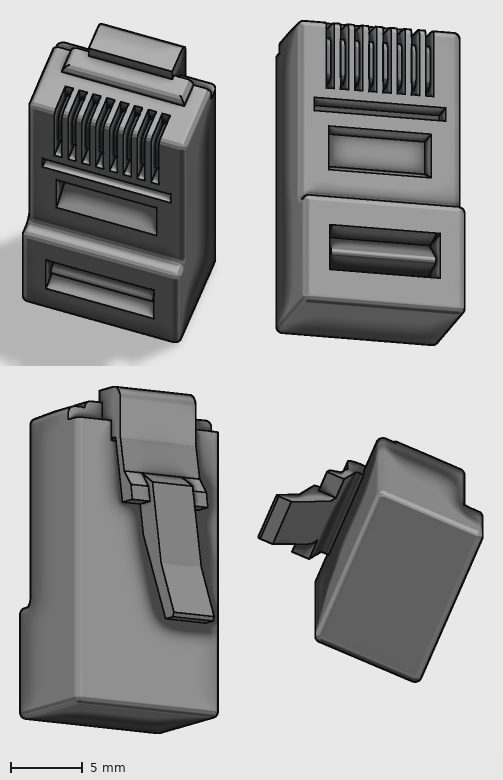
import cadquery as cq


OVERCUT = 1.0

BODY_WIDTH = 11.68
BODY_DEPTH = 8.01
BODY_HEIGHT = 21.14
STEP_DEPTH = 1.38
STEP_HEIGHT = 7.86
EDGE_RADIUS = 0.48
SLOPE_START_Y = 4.57
SLOPE_DROP = 0.14

NOTCH_Y = 6.78
NOTCH_Z = 20.16

PAD_WIDTH = 9.04
PAD_FRONT_Y = 4.82
PAD_TOP_Z = 21.62
PAD_RADIUS = 0.52
PAD_SINK = 0.5

LATCH_WIDTH = 6.16
LEVER_WIDTH = 3.28
LATCH_TOP_Z = 22.51
LATCH_LIP_Y = 6.41
LATCH_BACK_Y = 9.21
LATCH_TOP_RADIUS = 1.0
RELIEF_Z = 18.75
RELIEF_RISE = 0.19
ROOT_INNER_Y = 8.59
SHOULDER = (9.71, 16.33)
HOOK_NOSE = (10.6, 15.25)
HOOK_TIP = (10.79, 14.16)
LEVER_NOSE = (11.11, 15.48)
LEVER_OUTER_BEND = (12.26, 9.6)
LEVER_INNER_BEND = (9.92, 11.89)
LEVER_TIP = (13.97, 5.83)
LEVER_END_Z = 5.54
LEVER_END_OUTER_Y = 13.82
LEVER_END_INNER_Y = 12.86

BAR_WINDOW_WIDTH = 9.46
BAR_WINDOW_BOTTOM = 14.38
BAR_WINDOW_TOP = 15.35
WINDOW_DEPTH = 1.8
CLAMP_WINDOW_WIDTH = 7.37
CLAMP_WINDOW_BOTTOM = 10.15
CLAMP_WINDOW_TOP = 13.34
CLAMP_FLOOR_RISE = 0.83

RELIEF_WINDOW_WIDTH = 7.95
RELIEF_WINDOW_BOTTOM = 2.41
RELIEF_WINDOW_TOP = 5.68
RELIEF_WINDOW_DEPTH = 2.6
RELIEF_FLOOR_RISE = 0.46
WEDGE_WIDTH = 7.52
WEDGE_APEX = (0.03, 3.73)
WEDGE_HEEL = (2.4, 3.27)
WEDGE_SLOPE_END = (1.96, 5.28)
WEDGE_ROOT = (2.11, 5.43)
CEILING_SLOPE_END_Y = 1.95
WEDGE_NOSE_RADIUS = 0.27

CONTACT_COUNT = 8
CONTACT_PITCH = 1.02
SLOT_WIDTH = 0.57
SLOT_BOTTOM_Z = 16.11
SLOT_FLOOR_Y = 3.75
CONTACT_THICKNESS = 0.34
CONTACT_FRONT_Y = 1.9
CONTACT_BACK_Y = 5.0
CONTACT_CREST_BOTTOM = 16.83
CONTACT_CREST_TOP = 20.1
CONTACT_CREST_RADIUS = 0.65
CONTACT_BASE_BOTTOM = 16.59
CONTACT_BASE_TOP = 20.29

contact_xs = [(i - (CONTACT_COUNT - 1) / 2) * CONTACT_PITCH for i in range(CONTACT_COUNT)]


def profile_plane(half_width):
    """Sketch plane with local x along Y and local y along Z, at X = -half_width."""
    return cq.Workplane("YZ", origin=(-half_width, 0, 0))


def prism(points, width):
    """Extrude a closed Y-Z outline to the given width, centred on X = 0."""
    return profile_plane(width / 2).polyline(points).close().extrude(width)


def block(width, y_range, z_range, x_centre=0):
    """Rectangular block centred on x_centre."""
    (y0, y1), (z0, z1) = y_range, z_range
    return cq.Workplane("XY").box(width, y1 - y0, z1 - z0).translate(
        (x_centre, (y0 + y1) / 2, (z0 + z1) / 2)
    )


def make_body():
    outline = [
        (0, 0),
        (BODY_DEPTH, 0),
        (BODY_DEPTH, BODY_HEIGHT),
        (SLOPE_START_Y, BODY_HEIGHT),
        (STEP_DEPTH, BODY_HEIGHT - SLOPE_DROP),
        (STEP_DEPTH, STEP_HEIGHT),
        (0, STEP_HEIGHT),
    ]
    body = prism(outline, BODY_WIDTH)
    slope_crease = cq.selectors.NearestToPointSelector((0, SLOPE_START_Y, BODY_HEIGHT))
    body = body.edges(cq.selectors.InverseSelector(slope_crease)).fillet(EDGE_RADIUS)
    notch = block(
        BODY_WIDTH + 2 * OVERCUT,
        (NOTCH_Y, BODY_DEPTH + OVERCUT),
        (NOTCH_Z, BODY_HEIGHT + OVERCUT),
    )
    return body.cut(notch)


def make_pad():
    pad = block(PAD_WIDTH, (PAD_FRONT_Y, NOTCH_Y), (BODY_HEIGHT - PAD_SINK, PAD_TOP_Z))
    return pad.faces(">Z").edges("<Y or <X or >X").fillet(PAD_RADIUS)


def inner_edge_y(z):
    """Y of the latch's straight inner face at height z."""
    bend_y, bend_z = LEVER_INNER_BEND
    return bend_y + (z - bend_z) * (ROOT_INNER_Y - bend_y) / (RELIEF_Z - bend_z)


def make_latch():
    relief_crown = ((BODY_DEPTH + ROOT_INNER_Y) / 2, RELIEF_Z + RELIEF_RISE)
    root_and_hooks = (
        profile_plane(LATCH_WIDTH / 2)
        .moveTo(LATCH_LIP_Y, LATCH_TOP_Z)
        .lineTo(LATCH_LIP_Y, PAD_TOP_Z)
        .lineTo(NOTCH_Y, PAD_TOP_Z)
        .lineTo(NOTCH_Y, NOTCH_Z)
        .lineTo(BODY_DEPTH, NOTCH_Z)
        .lineTo(BODY_DEPTH, RELIEF_Z)
        .threePointArc(relief_crown, (ROOT_INNER_Y, RELIEF_Z))
        .lineTo(inner_edge_y(HOOK_TIP[1]), HOOK_TIP[1])
        .lineTo(*HOOK_TIP)
        .lineTo(*HOOK_NOSE)
        .lineTo(*SHOULDER)
        .lineTo(LATCH_BACK_Y, RELIEF_Z)
        .lineTo(LATCH_BACK_Y, LATCH_TOP_Z - LATCH_TOP_RADIUS)
        .radiusArc((LATCH_BACK_Y - LATCH_TOP_RADIUS, LATCH_TOP_Z), -LATCH_TOP_RADIUS)
        .close()
        .extrude(LATCH_WIDTH)
    )
    lever_outline = [
        SHOULDER,
        LEVER_NOSE,
        LEVER_OUTER_BEND,
        LEVER_TIP,
        (LEVER_END_OUTER_Y, LEVER_END_Z),
        (LEVER_END_INNER_Y, LEVER_END_Z),
        LEVER_INNER_BEND,
        (inner_edge_y(SHOULDER[1]), SHOULDER[1]),
    ]
    return root_and_hooks.union(prism(lever_outline, LEVER_WIDTH))


def make_sloped_pocket(width, face_y, depth, bottom_z, top_z, floor_rise):
    """Pocket in a front face whose floor rises towards its back wall."""
    floor_at_mouth = bottom_z - OVERCUT * floor_rise / depth
    outline = [
        (face_y - OVERCUT, floor_at_mouth),
        (face_y + depth, bottom_z + floor_rise),
        (face_y + depth, top_z),
        (face_y - OVERCUT, top_z),
    ]
    return prism(outline, width)


def make_front_windows():
    bar_window = block(
        BAR_WINDOW_WIDTH,
        (STEP_DEPTH - OVERCUT, STEP_DEPTH + WINDOW_DEPTH),
        (BAR_WINDOW_BOTTOM, BAR_WINDOW_TOP),
    )
    clamp_window = make_sloped_pocket(
        CLAMP_WINDOW_WIDTH, STEP_DEPTH, WINDOW_DEPTH,
        CLAMP_WINDOW_BOTTOM, CLAMP_WINDOW_TOP, CLAMP_FLOOR_RISE,
    )
    relief_window = make_sloped_pocket(
        RELIEF_WINDOW_WIDTH, 0, RELIEF_WINDOW_DEPTH,
        RELIEF_WINDOW_BOTTOM, RELIEF_WINDOW_TOP, RELIEF_FLOOR_RISE,
    )
    return bar_window.union(clamp_window).union(relief_window)


def make_strain_relief():
    """Wedge on the back wall of the strain relief window, under a sloped ceiling."""
    root_z = WEDGE_ROOT[1]
    wedge_outline = [
        WEDGE_APEX,
        WEDGE_HEEL,
        (RELIEF_WINDOW_DEPTH, WEDGE_HEEL[1]),
        (RELIEF_WINDOW_DEPTH, root_z),
        WEDGE_ROOT,
        WEDGE_SLOPE_END,
    ]
    wedge = prism(wedge_outline, WEDGE_WIDTH)
    wedge = wedge.edges("<Y").fillet(WEDGE_NOSE_RADIUS)
    ceiling_outline = [
        (0, RELIEF_WINDOW_TOP),
        (CEILING_SLOPE_END_Y, root_z),
        (RELIEF_WINDOW_DEPTH, root_z),
        (RELIEF_WINDOW_DEPTH, RELIEF_WINDOW_TOP),
    ]
    return wedge, prism(ceiling_outline, WEDGE_WIDTH)


def make_contact(x):
    """Blade with a rounded crest on a longer base that lies flush with the slot floor."""
    crest = block(
        CONTACT_THICKNESS,
        (CONTACT_FRONT_Y, CONTACT_BACK_Y),
        (CONTACT_CREST_BOTTOM, CONTACT_CREST_TOP),
        x,
    )
    crest = crest.faces("<Y").edges("|X").fillet(CONTACT_CREST_RADIUS)
    base = block(
        CONTACT_THICKNESS,
        (SLOT_FLOOR_Y, CONTACT_BACK_Y),
        (CONTACT_BASE_BOTTOM, CONTACT_BASE_TOP),
        x,
    )
    return crest.union(base)


def make_contact_slot(x):
    return block(
        SLOT_WIDTH,
        (STEP_DEPTH - OVERCUT, SLOT_FLOOR_Y),
        (SLOT_BOTTOM_Z, BODY_HEIGHT + OVERCUT),
        x,
    )


contacts = [make_contact(x) for x in contact_xs]

housing = make_body().union(make_pad()).union(make_latch())
housing = housing.cut(make_front_windows())
for feature in make_strain_relief():
    housing = housing.union(feature)
for x, contact in zip(contact_xs, contacts):
    housing = housing.cut(make_contact_slot(x)).cut(contact)

result = cq.Compound.makeCompound([housing.val(), *[contact.val() for contact in contacts]])